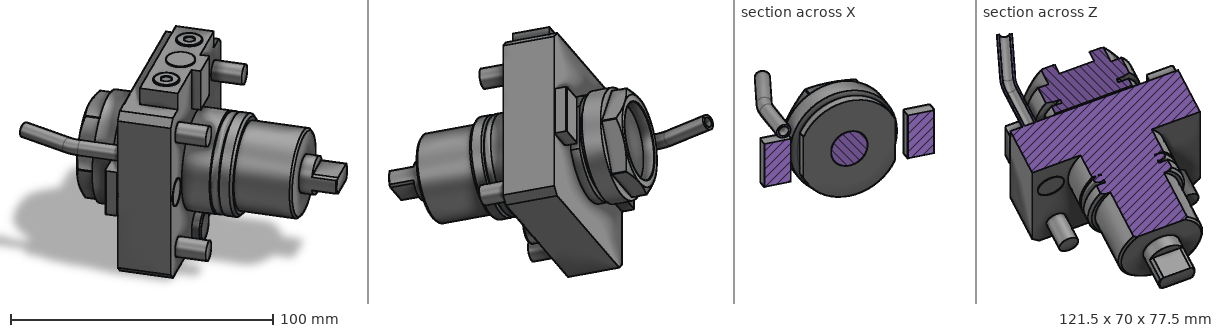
import cadquery as cq
import math


overall_length = 121.5

plate_side = 70.0
plate_thickness = 21.0
plate_corner_chamfer = 2.9
half_side = plate_side / 2
plate_front_x = -plate_thickness

block_length_x = 15.0
block_width_y = 50.3
block_height = 7.0
block_top_z = half_side + block_height
fitting_height = 0.5
ring_x = -7.2
ring_offset_y = 16.0
ring_radius = 5.1
ring_hole_radius = 2.2
ring_chamfer = 0.4
button_x = -6.1
button_radius = 5.6

key_width = 12.1
key_length = 3.6
key_bottom_z = 25.0
locating_pin_radius = key_width / 2
locating_pin_chamfer = 0.6
stud_radius = 4.0
stud_length = 12.1
stud_offset = 25.0
plug_radius = 5.5
plug_height = 0.2
plug_y = -27.2

pad_length_x = 5.1
pad_width_y = 11.0
pad_height_z = 19.1
pad_chamfer = 0.5

barrel_radius = 20.0
barrel_groove_x = 11.0
sealing_ring_radius = 1.6
land_start_x = 14.9
land_end_x = 20.0
land_chamfer = 1.1
nose_radius = 17.5
nose_end_x = 42.9
nose_chamfer = 0.9

tube_diameter = 6.0
tube_bore_diameter = 3.9
tube_y = -27.0
tube_z = 13.4
tube_straight_length = 17.5
tube_bend_radius = 15.2
tube_bend_angle = 20.0

shaft_radius = 7.5
shaft_shoulder_x = 48.0
tang_end_x = 57.9
tang_thickness = 7.0
tang_bevel_width = 1.1
tang_bevel_drop = 0.5
tang_end_chamfer = 0.4
collar_gap = 0.4
collar_radius = 20.9
collar_length = 3.6
collar_flats_width = 37.6
neck_radius = 17.9
neck_length = 1.5
flange_radius = 22.0
flange_bevel_radius = 19.5
flange_bevel_length = 0.7
flange_length = 8.4
hex_across_flats = 36.0
hex_length = 7.3
hex_corner_radius = 20.6
hex_bevel_length = 1.3
nut_bore_radius = 15.2
nut_bore_depth = 4.5
nut_bore_chamfer = 0.2

collar_rear_x = plate_front_x - collar_gap
collar_front_x = collar_rear_x - collar_length
flange_rear_x = collar_front_x - neck_length
flange_front_x = flange_rear_x - flange_length
nut_front_x = flange_front_x - hex_length


def x_cylinder(radius, start_x, end_x, y=0.0, z=0.0):
    """Cylinder along X between two X positions."""
    return (
        cq.Workplane("YZ", origin=(start_x, y, z))
        .circle(radius)
        .extrude(end_x - start_x)
    )


def x_revolve(profile):
    """Turned solid from a closed list of (x, radius) points."""
    return cq.Workplane("XY").polyline(profile).close().revolve(360, (0, 0, 0), (1, 0, 0))


def box_between(low, high):
    """Axis-aligned box from its low corner to its high corner."""
    size = [b - a for a, b in zip(low, high)]
    return cq.Workplane("XY").box(*size, centered=False).translate(low)


def make_plate():
    """Square plate with its four corners chamfered."""
    plate = box_between((plate_front_x, -half_side, -half_side), (0, half_side, half_side))
    return plate.edges("|X").chamfer(plate_corner_chamfer)


def make_top_block():
    """Raised block with two ringed ports, a round button and a rear key."""
    half_width = block_width_y / 2
    block = box_between((-block_length_x, -half_width, half_side), (0, half_width, block_top_z))
    for side in (-1, 1):
        ring = (
            cq.Workplane("XY", origin=(ring_x, side * ring_offset_y, block_top_z))
            .circle(ring_radius)
            .extrude(fitting_height)
            .faces(">Z")
            .chamfer(ring_chamfer)
            .faces(">Z")
            .workplane()
            .hole(2 * ring_hole_radius, fitting_height)
        )
        block = block.union(ring)
    button = (
        cq.Workplane("XY", origin=(button_x, 0, block_top_z))
        .circle(button_radius)
        .extrude(fitting_height)
    )
    key = box_between((0, -key_width / 2, key_bottom_z), (key_length, key_width / 2, block_top_z))
    return block.union(button).union(key)


def make_pad(side):
    """Front pad flush with one side of the plate, bevelled on its upright edges."""
    pad = cq.Workplane("XY").box(pad_length_x, pad_width_y, pad_height_z).edges("|Z").chamfer(pad_chamfer)
    center_x = plate_front_x - pad_length_x / 2
    return pad.translate((center_x, side * (half_side - pad_width_y / 2), 0))


def make_stud(side_y, side_z):
    """Plain round stud on one corner of the rear face."""
    return x_cylinder(stud_radius, 0, stud_length, side_y * stud_offset, side_z * stud_offset)


def make_locating_pin():
    """Round pin at the bottom of the rear face, tangent to the plate's lower side."""
    pin = x_cylinder(locating_pin_radius, 0, key_length, z=locating_pin_radius - half_side)
    return pin.faces(">X").chamfer(locating_pin_chamfer)


def make_barrel():
    """Stepped rear barrel with a groove that holds a round sealing ring."""
    body = x_revolve([
        (0, 0),
        (0, barrel_radius),
        (barrel_groove_x, barrel_radius),
        (barrel_groove_x, nose_radius),
        (land_start_x, nose_radius),
        (land_start_x, barrel_radius),
        (land_end_x - land_chamfer, barrel_radius),
        (land_end_x, barrel_radius - land_chamfer),
        (land_end_x, nose_radius),
        (nose_end_x - nose_chamfer, nose_radius),
        (nose_end_x, nose_radius - nose_chamfer),
        (nose_end_x, 0),
    ])
    sealing_ring = (
        cq.Workplane("XY")
        .center(barrel_groove_x + sealing_ring_radius, barrel_radius - sealing_ring_radius)
        .circle(sealing_ring_radius)
        .revolve(360, (-1.2, sealing_ring_radius - barrel_radius), (1.2, sealing_ring_radius - barrel_radius))
    )
    return body.union(sealing_ring)


def make_tube_run(diameter):
    """Round bar along the tube path: straight, bent toward the axis, straight.

    The rim of the slanted tube end sets the front limit of the overall length.
    """
    angle = math.radians(tube_bend_angle)
    bend_x = plate_front_x - tube_straight_length

    def bend_point(turn):
        return (
            bend_x - tube_bend_radius * math.sin(turn),
            tube_y + tube_bend_radius * (1 - math.cos(turn)),
        )

    bend_end = bend_point(angle)
    tip_x = tang_end_x - overall_length + tube_diameter / 2 * math.sin(angle)
    tip_y = bend_end[1] + (bend_end[0] - tip_x) * math.tan(angle)
    path = (
        cq.Workplane("XY", origin=(0, 0, tube_z))
        .moveTo(plate_front_x, tube_y)
        .lineTo(bend_x, tube_y)
        .threePointArc(bend_point(angle / 2), bend_end)
        .lineTo(tip_x, tip_y)
    )
    return cq.Workplane("YZ", origin=(plate_front_x, tube_y, tube_z)).circle(diameter / 2).sweep(path)


def make_housing():
    """Stationary body, bored through for the shaft."""
    housing = make_plate().union(make_top_block()).union(make_barrel()).union(make_locating_pin())
    housing = housing.union(x_cylinder(plug_radius, 0, plug_height, y=plug_y))
    for side_y in (-1, 1):
        housing = housing.union(make_pad(side_y))
        for side_z in (-1, 1):
            housing = housing.union(make_stud(side_y, side_z))
    housing = housing.union(make_tube_run(tube_diameter)).cut(make_tube_run(tube_bore_diameter))
    return housing.cut(x_cylinder(shaft_radius, plate_front_x, nose_end_x))


def make_nut_hex():
    """Hexagon with flats up and down, its corners turned and its front bevelled."""
    corner_diameter = hex_across_flats / math.cos(math.pi / 6)
    hexagon = (
        cq.Workplane("YZ", origin=(nut_front_x, 0, 0))
        .polygon(6, corner_diameter)
        .extrude(hex_length)
    )
    envelope = x_revolve([
        (nut_front_x, 0),
        (nut_front_x, hex_across_flats / 2),
        (nut_front_x + hex_bevel_length, hex_corner_radius),
        (flange_front_x, hex_corner_radius),
        (flange_front_x, 0),
    ])
    return hexagon.intersect(envelope)


def make_nut_bore():
    """Blind front recess with a small bevel at its mouth."""
    return x_revolve([
        (nut_front_x, 0),
        (nut_front_x, nut_bore_radius + nut_bore_chamfer),
        (nut_front_x + nut_bore_chamfer, nut_bore_radius),
        (nut_front_x + nut_bore_depth, nut_bore_radius),
        (nut_front_x + nut_bore_depth, 0),
    ])


def make_flange_and_neck():
    """Round flange with a steep rear bevel, stepping down to the neck."""
    return x_revolve([
        (flange_front_x, 0),
        (flange_front_x, flange_radius),
        (flange_rear_x - flange_bevel_length, flange_radius),
        (flange_rear_x, flange_bevel_radius),
        (flange_rear_x, neck_radius),
        (collar_front_x, neck_radius),
        (collar_front_x, 0),
    ])


def make_collar():
    """Round collar with two wrench flats facing +Y and -Y."""
    half_flats = collar_flats_width / 2
    flats = box_between(
        (collar_front_x, -half_flats, -collar_radius),
        (collar_rear_x, half_flats, collar_radius),
    )
    return x_cylinder(collar_radius, collar_front_x, collar_rear_x).intersect(flats)


def make_tang():
    """Flat drive tang with bevelled long edges, cut from the shaft end."""
    half_thickness = tang_thickness / 2
    flat_half_width = math.sqrt(shaft_radius**2 - half_thickness**2) - tang_bevel_width
    bevel_slope = tang_bevel_drop / tang_bevel_width
    side_z = half_thickness - bevel_slope * (shaft_radius - flat_half_width)
    section = (
        cq.Workplane("YZ", origin=(shaft_shoulder_x, 0, 0))
        .polyline([
            (flat_half_width, half_thickness),
            (shaft_radius, side_z),
            (shaft_radius, -side_z),
            (flat_half_width, -half_thickness),
            (-flat_half_width, -half_thickness),
            (-shaft_radius, -side_z),
            (-shaft_radius, side_z),
            (-flat_half_width, half_thickness),
        ])
        .close()
        .extrude(tang_end_x - shaft_shoulder_x)
    )
    rounded_bar = x_cylinder(shaft_radius, shaft_shoulder_x, tang_end_x).faces(">X").chamfer(tang_end_chamfer)
    return section.intersect(rounded_bar)


def make_spindle():
    """Rotating body: nut, flange, collar, shaft and drive tang."""
    spindle = make_nut_hex().union(make_flange_and_neck()).union(make_collar())
    spindle = spindle.union(x_cylinder(shaft_radius, collar_rear_x, shaft_shoulder_x))
    return spindle.union(make_tang()).cut(make_nut_bore())


housing = make_housing()
spindle = make_spindle()

result = cq.Compound.makeCompound([housing.val(), spindle.val()])